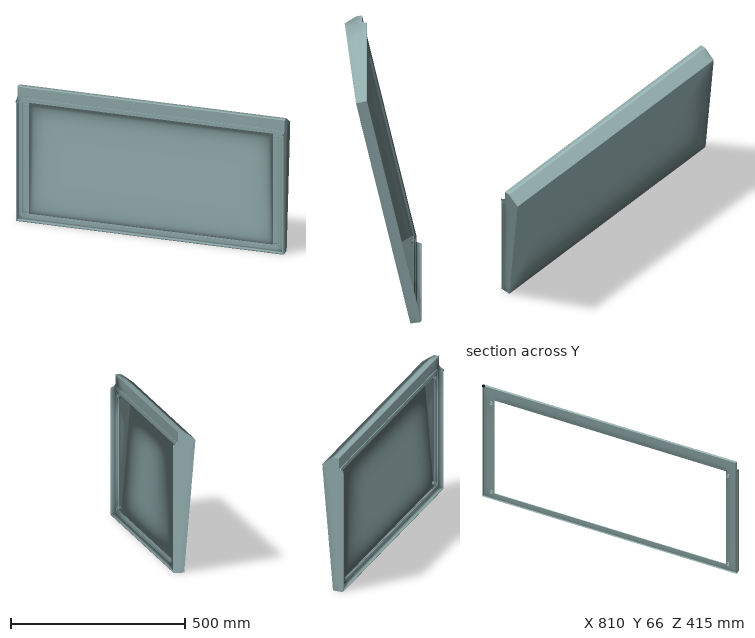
import cadquery as cq

rim_width = 810.0
rim_side_step = 1.0
housing_width = rim_width - 2 * rim_side_step
housing_height = 415.0
front_y = 14.5
bottom_back_y = 32.0
back_edge_y = 66.0
back_edge_z = 390.0
top_back_y = 31.0
top_edge_radius = 2.0
wall = 2.5

opening_width = 739.0
opening_bottom_z = 21.0
opening_top_z = 368.0

rim_thickness = 4.0
rim_top_z = 368.0
rim_edge_radius = 3.0

ear_thickness = 1.0
ear_front_z = 376.0
ear_back_z = 386.0
ear_sag = 2.5

gasket_outer_width = 798.0
gasket_bottom_z = 7.0
gasket_top_z = 381.0
gasket_strip = 11.0
gasket_thickness = 2.5
gasket_outer_radius = 17.0
gasket_inner_radius = gasket_outer_radius - gasket_strip

bush_x = 377.5
bush_low_z = 26.0
bush_high_z = 355.0
bush_head_radius = 6.5
bush_head_height = 1.2
bush_shank_radius = 6.0
bush_shank_length = 10.0
bush_bore_radius = 3.0


def box_between(x_min, x_max, y_min, y_max, z_min, z_max):
    """A box given by its limits along each axis."""
    size = (x_max - x_min, y_max - y_min, z_max - z_min)
    return cq.Workplane("XY").box(*size, centered=False).translate((x_min, y_min, z_min))


def disc(radius, x, z, y_start, y_end):
    """A cylinder along +Y between two Y positions."""
    base = cq.Vector(x, y_start, z)
    along_y = cq.Vector(0, 1, 0)
    return cq.Workplane(cq.Solid.makeCylinder(radius, y_end - y_start, base, along_y))


def wedge_profile():
    """Side outline of the housing in the YZ plane."""
    return cq.Workplane("YZ").polyline([
        (front_y, 0),
        (bottom_back_y, 0),
        (back_edge_y, back_edge_z),
        (top_back_y, housing_height),
        (front_y, housing_height),
    ]).close()


def make_shell():
    """Hollow wedge with an opening in its front plate."""
    outside = wedge_profile().extrude(housing_width / 2, both=True)
    outside = outside.faces(">Z").edges("|X").fillet(top_edge_radius)
    cavity = wedge_profile().offset2D(-wall).extrude(housing_width / 2 - wall, both=True)
    opening = box_between(
        -opening_width / 2, opening_width / 2,
        front_y, front_y + wall,
        opening_bottom_z, opening_top_z,
    )
    return outside.cut(cavity).cut(opening)


def make_rim():
    """U-shaped lip along the sides and the bottom, rounded along its outer front edge."""
    half_width = rim_width / 2
    inner_half_width = half_width - rim_thickness
    block = box_between(-half_width, half_width, 0, front_y, 0, rim_top_z)
    block = block.faces("<Y").edges("|Z or <Z").fillet(rim_edge_radius)
    inside = box_between(-inner_half_width, inner_half_width, 0, front_y, rim_thickness, rim_top_z)
    return block.cut(inside)


def make_ear(side):
    middle = (front_y / 2, (ear_front_z + ear_back_z) / 2 - ear_sag)
    outline = (
        cq.Workplane("YZ")
        .moveTo(0, rim_top_z)
        .lineTo(0, ear_front_z)
        .threePointArc(middle, (front_y, ear_back_z))
        .lineTo(front_y, rim_top_z)
        .close()
    )
    ear = outline.extrude(ear_thickness)
    start = housing_width / 2 - ear_thickness if side > 0 else -housing_width / 2
    return ear.translate((start, 0, 0))


def bush_positions():
    return [(x, z) for x in (-bush_x, bush_x) for z in (bush_low_z, bush_high_z)]


def make_housing():
    housing = make_shell().union(make_rim())
    for side in (-1, 1):
        housing = housing.union(make_ear(side))
    for x, z in bush_positions():
        housing = housing.cut(disc(bush_shank_radius, x, z, front_y, front_y + wall))
    return housing


def rounded_block(width, z_min, z_max, radius):
    """Block of gasket thickness in front of the front plate, corners rounded."""
    block = box_between(-width / 2, width / 2, front_y - gasket_thickness, front_y, z_min, z_max)
    return block.edges("|Y").fillet(radius)


def make_gasket():
    outer = rounded_block(gasket_outer_width, gasket_bottom_z, gasket_top_z, gasket_outer_radius)
    inner = rounded_block(
        gasket_outer_width - 2 * gasket_strip,
        gasket_bottom_z + gasket_strip,
        gasket_top_z - gasket_strip,
        gasket_inner_radius,
    )
    return outer.cut(inner)


def make_bush(x, z):
    head_front_y = front_y - bush_head_height
    shank_back_y = front_y + bush_shank_length
    head = disc(bush_head_radius, x, z, head_front_y, front_y)
    shank = disc(bush_shank_radius, x, z, front_y, shank_back_y)
    bore = disc(bush_bore_radius, x, z, head_front_y, shank_back_y)
    return head.union(shank).cut(bore)


housing = make_housing()
gasket = make_gasket()
bushes = [make_bush(x, z) for x, z in bush_positions()]

result = cq.Compound.makeCompound([
    housing.val(),
    gasket.val(),
    *[bush.val() for bush in bushes],
])